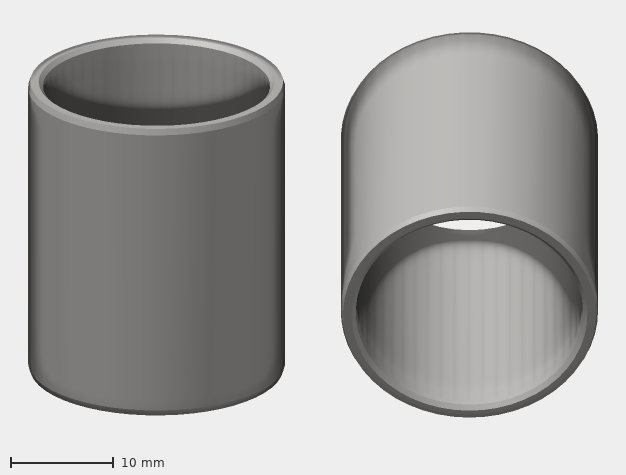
import cadquery as cq

length = 30.0
outer_diameter = 25.0
bore_diameter = 22.08
outer_chamfer_height = 0.6
outer_chamfer_width = 0.2
bore_chamfer = 0.42

outer_radius = outer_diameter / 2
bore_radius = bore_diameter / 2
half_length = length / 2

wall_section = (
    cq.Workplane("XZ")
    .moveTo(bore_radius, -half_length + bore_chamfer)
    .lineTo(bore_radius + bore_chamfer, -half_length)
    .lineTo(outer_radius - outer_chamfer_width, -half_length)
    .lineTo(outer_radius, -half_length + outer_chamfer_height)
    .lineTo(outer_radius, half_length - outer_chamfer_height)
    .lineTo(outer_radius - outer_chamfer_width, half_length)
    .lineTo(bore_radius + bore_chamfer, half_length)
    .lineTo(bore_radius, half_length - bore_chamfer)
    .close()
)

result = wall_section.revolve(360, (0, 0, 0), (0, 1, 0))